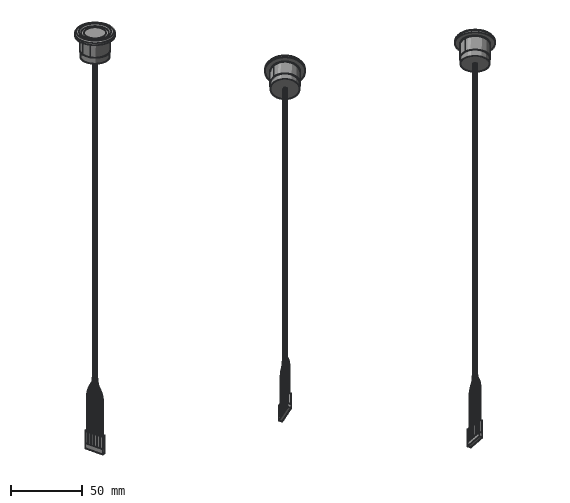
import cadquery as cq

overall_height = 334.0
flange_height = 3.0
neck_height = 0.7
body_bottom_depth = 15.0
head_height = 20.0

flange_d = 28.0
body_d = 21.5
core_d = 20.5

rim_chamfer_width = 1.0
rim_chamfer_height = 1.5
dish_top_d = 22.5
dish_floor_d = 19.5
dish_depth = 1.0

lens_d = 15.5
lens_height = 2.0

wires_per_row = 3
row_count = 2
wire_count = wires_per_row * row_count
pin_pitch = 2.55
connector_width = wire_count * pin_pitch
connector_depth = 2.7
connector_height = 14.0
cell_side = 2.0
cell_floor_z = 4.0

wire_d = 1.0
pin_d = 0.7
wire_clearance = 0.5
bundle_column_pitch = 0.97
bundle_row_pitch = 1.5
fan_bottom_z = 41.8
fan_top_z = 60.0

flange_bottom_z = overall_height - flange_height
neck_bottom_z = flange_bottom_z - neck_height
body_bottom_z = overall_height - body_bottom_depth
head_bottom_z = overall_height - head_height
dish_floor_z = overall_height - dish_depth
wire_end_z = connector_height + wire_clearance


def cylinder(diameter, bottom_z, top_z, x=0.0):
    """Upright cylinder between two levels."""
    return cq.Workplane("XY", origin=(x, 0, bottom_z)).circle(diameter / 2).extrude(top_z - bottom_z)


def pin_x(index):
    """X position of a wire at the connector; the wires are centred on X = 0."""
    return (index - (wire_count - 1) / 2) * pin_pitch


def make_lens():
    return cylinder(lens_d, dish_floor_z - lens_height, dish_floor_z)


def make_flange():
    """Disc with a chamfered top rim and a shallow conical dish."""
    rim_r = flange_d / 2
    return (
        cq.Workplane("XZ")
        .moveTo(0, flange_bottom_z)
        .lineTo(rim_r, flange_bottom_z)
        .lineTo(rim_r, overall_height - rim_chamfer_height)
        .lineTo(rim_r - rim_chamfer_width, overall_height)
        .lineTo(dish_top_d / 2, overall_height)
        .lineTo(dish_floor_d / 2, dish_floor_z)
        .lineTo(0, dish_floor_z)
        .close()
        .revolve(360, (0, 0, 0), (0, 1, 0))
    )


def make_housing():
    """Flange on a round core, with a wider body that has flats at front and back."""
    core = cylinder(core_d, head_bottom_z, flange_bottom_z)
    body_height = neck_bottom_z - body_bottom_z
    flats = (
        cq.Workplane("XY", origin=(0, 0, body_bottom_z))
        .rect(body_d, core_d)
        .extrude(body_height)
    )
    body = cylinder(body_d, body_bottom_z, neck_bottom_z).intersect(flats)
    return make_flange().union(core).union(body).cut(make_lens())


def make_connector():
    block = cq.Workplane("XY").rect(connector_width, connector_depth).extrude(connector_height)
    cells = (
        cq.Workplane("XY", origin=(0, 0, cell_floor_z))
        .pushPoints([(pin_x(index), 0) for index in range(wire_count)])
        .rect(cell_side, cell_side)
        .extrude(connector_height - cell_floor_z)
    )
    return block.cut(cells)


def make_wire(row, column):
    """Strand from its connector cell, through an S-bend, to its place in the bundle."""
    x = pin_x(column * row_count + row)
    bundle_x = (column - (wires_per_row - 1) / 2) * bundle_column_pitch
    bundle_y = ((row_count - 1) / 2 - row) * bundle_row_pitch
    up = cq.Vector(0, 0, 1)
    lower_end = cq.Vector(x, 0, wire_end_z)
    bend_start = cq.Vector(x, 0, fan_bottom_z)
    bend_end = cq.Vector(bundle_x, bundle_y, fan_top_z)
    upper_end = cq.Vector(bundle_x, bundle_y, head_bottom_z)
    path = cq.Wire.assembleEdges([
        cq.Edge.makeLine(lower_end, bend_start),
        cq.Edge.makeSpline([bend_start, bend_end], tangents=[up, up]),
        cq.Edge.makeLine(bend_end, upper_end),
    ])
    strand = cq.Workplane("XY", origin=lower_end.toTuple()).circle(wire_d / 2).sweep(path)
    pin = cylinder(pin_d, cell_floor_z, wire_end_z, x)
    return strand.union(pin)


def make_ribbon(row):
    """One row of wires, joined side by side where they run in the bundle."""
    ribbon = make_wire(row, 0)
    for column in range(1, wires_per_row):
        ribbon = ribbon.union(make_wire(row, column))
    return ribbon


housing = make_housing()
lens = make_lens()
connector = make_connector()
ribbons = [make_ribbon(row) for row in range(row_count)]

result = cq.Compound.makeCompound([
    housing.solids().val(),
    lens.solids().val(),
    connector.solids().val(),
    *[ribbon.solids().val() for ribbon in ribbons],
])